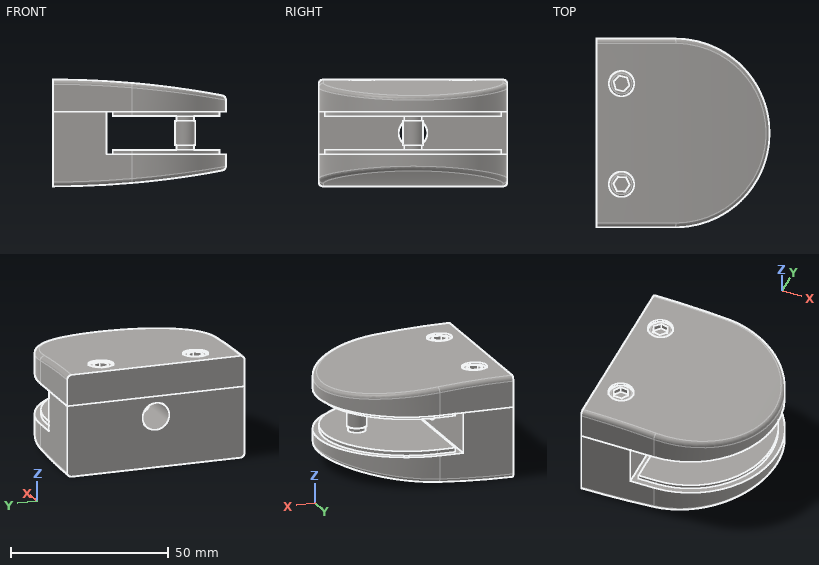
import cadquery as cq
import math

WIDTH = 60.0
NOSE_RADIUS = WIDTH / 2
LENGTH = 55.0
HEIGHT = 34.0
NOSE_CENTRE_X = LENGTH - NOSE_RADIUS
CROWN_RADIUS = 289.2
EDGE_FILLET = 1.5

SLOT_HEIGHT = 13.45
SLOT_WALL_X = 17.05

PAD_INSET = 2.05
PAD_THICKNESS = 1.4
PAD_BACK_X = 18.95

MOUNT_HOLE_DIAMETER = 9.0

PIN_X = 42.0
PIN_DIAMETER = 6.5
PIN_NECK_DIAMETER = 5.65
PIN_BODY_LENGTH = 7.7
PIN_LENGTH = SLOT_HEIGHT - 2 * PAD_THICKNESS

SCREW_X = 8.0
SCREW_SPACING = 32.0
SCREW_MIDDLE_Y = -0.3
SCREW_TURNS = {
    SCREW_MIDDLE_Y + SCREW_SPACING / 2: -13.5,
    SCREW_MIDDLE_Y - SCREW_SPACING / 2: -3.5,
}
HEAD_DIAMETER = 8.05
HEAD_HEIGHT = 3.0
HEAD_RIM_FILLET = 0.8
HEAD_TOP_Z = HEIGHT / 2 - 0.5
SOCKET_ACROSS_FLATS = 4.5
SOCKET_ACROSS_CORNERS = SOCKET_ACROSS_FLATS / math.cos(math.pi / 6)
SOCKET_DEPTH = 2.0


def outline_prism(inset, back_x, bottom_z, height):
    """D-shaped plate: straight back, two straight sides and a half-round nose."""
    radius = NOSE_RADIUS - inset
    return (
        cq.Workplane("XY", origin=(0, 0, bottom_z))
        .moveTo(back_x, -radius)
        .lineTo(NOSE_CENTRE_X, -radius)
        .threePointArc((NOSE_CENTRE_X + radius, 0), (NOSE_CENTRE_X, radius))
        .lineTo(back_x, radius)
        .close()
        .extrude(height)
    )


def crown_drop(x):
    """Fall of the crowned face below its highest level at distance x from the back."""
    return CROWN_RADIUS - math.sqrt(CROWN_RADIUS**2 - x**2)


def crowned_half():
    """Upper half of the clamp block, from the middle plane up to the crowned and rounded top."""
    top = HEIGHT / 2
    profile = (
        cq.Workplane("XZ", origin=(0, NOSE_RADIUS, 0))
        .lineTo(0, top)
        .threePointArc(
            (LENGTH / 2, top - crown_drop(LENGTH / 2)),
            (LENGTH, top - crown_drop(LENGTH)),
        )
        .lineTo(LENGTH, 0)
        .close()
        .extrude(WIDTH)
    )
    half = outline_prism(0, 0, 0, HEIGHT).intersect(profile)
    rounded_edges = half.faces(">Z").edges("not(<X)")
    return half.newObject(rounded_edges.vals()).fillet(EDGE_FILLET)


def jaw():
    """Crowned plate above the slot with its gripping pad on the underside."""
    below_jaw = cq.Workplane("XY").box(2 * LENGTH, 2 * WIDTH, SLOT_HEIGHT)
    pad = outline_prism(PAD_INSET, PAD_BACK_X, SLOT_HEIGHT / 2 - PAD_THICKNESS, PAD_THICKNESS)
    return crowned_half().cut(below_jaw).union(pad)


def screw_head(y, turn):
    """Cylindrical head with a rounded rim and a hexagonal socket."""
    head = (
        cq.Workplane("XY", origin=(SCREW_X, y, HEAD_TOP_Z - HEAD_HEIGHT))
        .circle(HEAD_DIAMETER / 2)
        .extrude(HEAD_HEIGHT)
        .faces(">Z")
        .edges()
        .fillet(HEAD_RIM_FILLET)
    )
    socket = (
        cq.Workplane("XY")
        .polygon(6, SOCKET_ACROSS_CORNERS)
        .extrude(SOCKET_DEPTH)
        .rotate((0, 0, 0), (0, 0, 1), turn)
        .translate((SCREW_X, y, HEAD_TOP_Z - SOCKET_DEPTH))
    )
    return head.cut(socket)


def make_cover():
    """Upper jaw with a screw head seated in each counterbore."""
    cover = jaw()
    for y, turn in SCREW_TURNS.items():
        counterbore = (
            cq.Workplane("XY", origin=(SCREW_X, y, HEAD_TOP_Z - HEAD_HEIGHT))
            .circle(HEAD_DIAMETER / 2)
            .extrude(HEIGHT)
        )
        cover = cover.cut(counterbore).union(screw_head(y, turn))
    return cover


def make_base():
    """Lower jaw with the back wall that closes the slot and carries the mounting hole."""
    back_wall = cq.Workplane("XY").box(SLOT_WALL_X, WIDTH, SLOT_HEIGHT, centered=(False, True, True))
    mount_hole = cq.Workplane("YZ").circle(MOUNT_HOLE_DIAMETER / 2).extrude(SLOT_WALL_X)
    lower_jaw = jaw().mirror("XY")
    return lower_jaw.union(back_wall).cut(mount_hole)


def make_pin():
    """Pin with a thicker middle, standing between the two pads."""
    neck = cq.Workplane("XY").cylinder(PIN_LENGTH, PIN_NECK_DIAMETER / 2)
    body = cq.Workplane("XY").cylinder(PIN_BODY_LENGTH, PIN_DIAMETER / 2)
    return neck.union(body).translate((PIN_X, 0, 0))


base = make_base()
cover = make_cover()
pin = make_pin()

result = cq.Compound.makeCompound([base.val(), cover.val(), pin.val()])